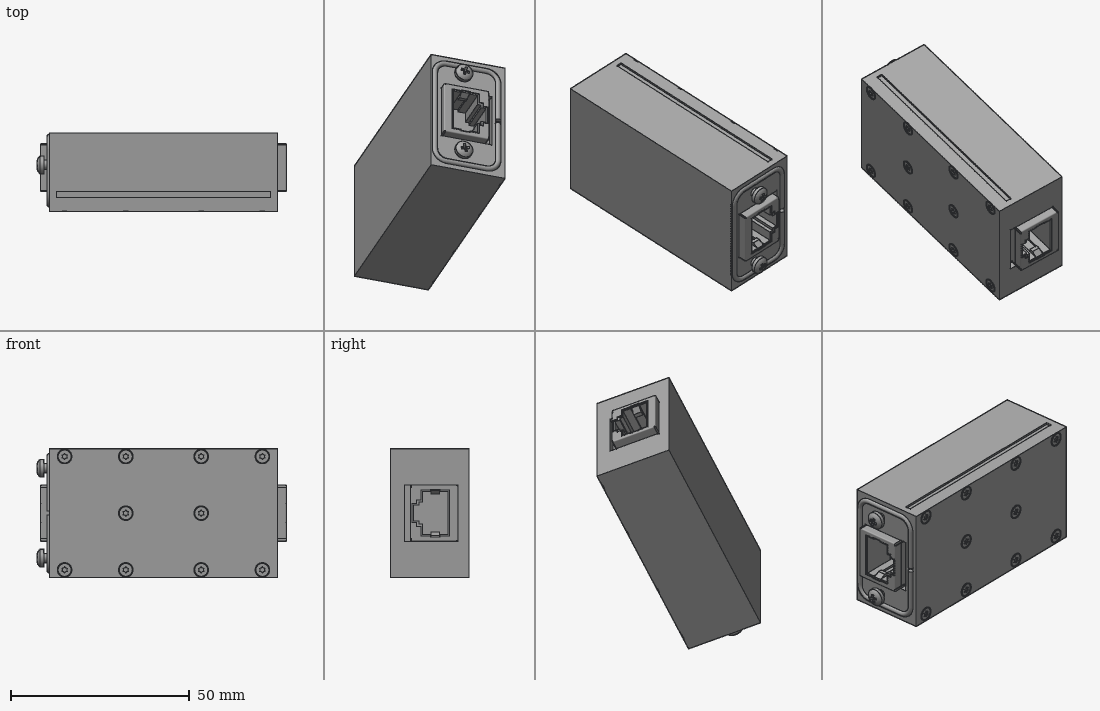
import cadquery as cq
import math

LENGTH = 63.85
WIDTH = 22.0
HEIGHT = 36.1
CONNECTOR_FACE_X = -LENGTH / 2
COVER_FACE_Y = -WIDTH / 2

JACK_OVERHANG = 2.5
JACK_BACK_Y = 7.95
JACK_FRONT_Y = -5.4
JACK_HALF_HEIGHT = 7.9
JACK_EDGE_RADIUS = 0.35
FRONT_NOTCH_DEPTH = 0.2
FRONT_NOTCH_HEIGHT = 0.8
BACK_NOTCH_DEPTH = 0.4
BACK_NOTCH_HEIGHT = 0.2
NOTCH_REACH = 1.75

BORE_BACK_Y = 5.2
BORE_STEPS = [(-2.0, 6.0), (-3.1, 3.1), (-4.55, 2.25)]
BORE_DEPTH = 10.5
LEAD_IN_BACK_Y = 5.6
LEAD_IN_STEPS = [(-2.45, 6.4), (-3.7, 3.7), (-5.0, 2.65)]
LEAD_IN_DEPTH = 0.35

TAB_CENTRE_Y = 1.55
TAB_WIDTH = 2.3
TAB_SLOT_WIDTH = 2.65
TAB_SLOT_HALF_HEIGHT = 6.65
TAB_START = 0.35
TAB_RAMP_START = 0.5
TAB_CREST_START = 2.2
TAB_CREST_END = 3.3
TAB_END = 3.6
TAB_RAMP_HALF_HEIGHT = 6.3
TAB_CREST_HALF_HEIGHT = 5.3

RECESS_FRONT_Y = -7.05
RECESS_BACK_Y = -5.45
RECESS_DEPTH = 2.1

SLOT_LENGTH = 59.85
SLOT_FRONT_Y = RECESS_FRONT_Y
SLOT_BACK_Y = JACK_FRONT_Y
SLOT_DEPTH = 0.55

COVER_SCREW_OUTER_X = 27.65
COVER_SCREW_INNER_X = 10.55
COVER_SCREW_EDGE_Z = 15.85
COVER_SCREW_HOLE_RADIUS = 2.0
COVER_SCREW_HEAD_RADIUS = 1.8
COVER_SCREW_GAP_DEPTH = 0.2
STAR_TIP_RADIUS = 0.9
STAR_VALLEY_RADIUS = 0.6
STAR_POINTS = 6
STAR_DEPTH = 0.4

HEAD_Y = 2.0
HEAD_Z = 12.6
HEAD_RADIUS = 2.5
HEAD_BASE = 1.55
HEAD_RIM = 2.6
HEAD_TIP = 3.5
HEAD_FLAT_RADIUS = 0.7
NECK_RADIUS = 1.3
CROSS_LENGTH = 2.65
CROSS_WIDTH = 0.6
CROSS_DEPTH = 1.1
CROSS_TILT = 15.0

CORD_WIDTH = 1.6
CORD_RADIUS = CORD_WIDTH / 2
CORD_PROTRUSION = 0.7
GROOVE_DEPTH = 0.7
CORD_BACK_Y = 9.85
CORD_FRONT_Y = -8.95
CORD_HALF_HEIGHT = 15.9
CORD_BEND_RADIUS = 3.5
CORD_GAP = 1.1


def box_between(low, high):
    """Box between two opposite corners."""
    size = [b - a for a, b in zip(low, high)]
    return cq.Workplane("XY").box(*size, centered=False).translate(low)



JACK_END_X = CONNECTOR_FACE_X - JACK_OVERHANG


def jack_block():
    """Protruding body with rounded end edges."""
    block = box_between(
        (JACK_END_X, JACK_FRONT_Y, -JACK_HALF_HEIGHT),
        (CONNECTOR_FACE_X, JACK_BACK_Y, JACK_HALF_HEIGHT),
    )
    return block.faces("<X").edges().fillet(JACK_EDGE_RADIUS)


def end_recess():
    """Recess beside the jack and the stepped notches along the jack's four long edges."""
    notch_end_x = CONNECTOR_FACE_X + NOTCH_REACH
    recess = box_between(
        (CONNECTOR_FACE_X, RECESS_FRONT_Y, -JACK_HALF_HEIGHT),
        (CONNECTOR_FACE_X + RECESS_DEPTH, RECESS_BACK_Y, JACK_HALF_HEIGHT),
    )
    front_notch = box_between(
        (JACK_END_X, RECESS_BACK_Y, JACK_HALF_HEIGHT - FRONT_NOTCH_HEIGHT),
        (notch_end_x, JACK_FRONT_Y + FRONT_NOTCH_DEPTH, JACK_HALF_HEIGHT),
    )
    back_notch = box_between(
        (JACK_END_X, JACK_BACK_Y - BACK_NOTCH_DEPTH, JACK_HALF_HEIGHT - BACK_NOTCH_HEIGHT),
        (notch_end_x, JACK_BACK_Y, JACK_HALF_HEIGHT),
    )
    for notch in (front_notch, back_notch):
        recess = recess.union(notch).union(notch.mirror("XY"))
    return recess


def stepped_opening(back_y, steps, depth):
    """Opening that narrows in steps towards -Y, cut inward from the jack's end."""
    opening = None
    for far_y, half_height in steps:
        step = box_between(
            (JACK_END_X, far_y, -half_height),
            (JACK_END_X + depth, back_y, half_height),
        )
        opening = step if opening is None else opening.union(step)
    return opening


def spring_tab():
    """Wedge hanging from the roof of the plug opening."""
    profile = [
        (TAB_START, TAB_SLOT_HALF_HEIGHT),
        (TAB_RAMP_START, TAB_RAMP_HALF_HEIGHT),
        (TAB_CREST_START, TAB_CREST_HALF_HEIGHT),
        (TAB_CREST_END, TAB_CREST_HALF_HEIGHT),
        (TAB_END, TAB_SLOT_HALF_HEIGHT),
    ]
    return (
        cq.Workplane("XZ")
        .polyline(profile)
        .close()
        .extrude(TAB_WIDTH / 2, both=True)
        .translate((JACK_END_X, TAB_CENTRE_Y, 0))
    )


def jack_cavity():
    """Plug opening, with the two spring tabs left standing in it."""
    bore = stepped_opening(BORE_BACK_Y, BORE_STEPS, BORE_DEPTH)
    lead_in = stepped_opening(LEAD_IN_BACK_Y, LEAD_IN_STEPS, LEAD_IN_DEPTH)
    tab_slot = box_between(
        (JACK_END_X, TAB_CENTRE_Y - TAB_SLOT_WIDTH / 2, -TAB_SLOT_HALF_HEIGHT),
        (JACK_END_X + BORE_DEPTH, TAB_CENTRE_Y + TAB_SLOT_WIDTH / 2, TAB_SLOT_HALF_HEIGHT),
    )
    tab = spring_tab()
    return bore.union(lead_in).union(tab_slot).cut(tab).cut(tab.mirror("XY"))



def star_recess():
    """Six-pointed driver recess with rounded valleys, cut into the -Y face."""
    def point(radius, step):
        angle = math.pi / 2 + step * math.pi / STAR_POINTS
        return (radius * math.cos(angle), radius * math.sin(angle))

    outline = cq.Workplane("XZ").moveTo(*point(STAR_TIP_RADIUS, 0))
    for tip in range(STAR_POINTS):
        outline = outline.threePointArc(
            point(STAR_VALLEY_RADIUS, 2 * tip + 1),
            point(STAR_TIP_RADIUS, 2 * tip + 2),
        )
    return outline.close().extrude(-STAR_DEPTH).translate((0, COVER_FACE_Y, 0))


def cover_screw_cut():
    """Gap around a flush screw head, and its driver recess."""
    gap = (
        cq.Workplane("XZ")
        .circle(COVER_SCREW_HOLE_RADIUS)
        .circle(COVER_SCREW_HEAD_RADIUS)
        .extrude(-COVER_SCREW_GAP_DEPTH)
        .translate((0, COVER_FACE_Y, 0))
    )
    return gap.add(star_recess())


def cover_screw_places():
    """(X, Z) of the ten cover screws: four along each edge and two on the centre line."""
    inner = (-COVER_SCREW_INNER_X, COVER_SCREW_INNER_X)
    outer = (-COVER_SCREW_OUTER_X, COVER_SCREW_OUTER_X)
    edge_places = [(x, z) for x in inner + outer for z in (-COVER_SCREW_EDGE_Z, COVER_SCREW_EDGE_Z)]
    return edge_places + [(x, 0) for x in inner]


def raised_screw(z, tilt):
    """Domed, flat-tipped screw head on a neck, with a cross recess turned by the tilt angle."""
    dome_rise = HEAD_TIP - HEAD_RIM
    rim_to_flat = HEAD_RADIUS - HEAD_FLAT_RADIUS
    dome_radius = (rim_to_flat ** 2 + dome_rise ** 2) / (2 * dome_rise)
    screw = (
        cq.Workplane("XY")
        .lineTo(NECK_RADIUS, 0)
        .lineTo(NECK_RADIUS, HEAD_BASE)
        .lineTo(HEAD_RADIUS, HEAD_BASE)
        .lineTo(HEAD_RADIUS, HEAD_RIM)
        .radiusArc((HEAD_FLAT_RADIUS, HEAD_TIP), -dome_radius)
        .lineTo(0, HEAD_TIP)
        .close()
        .revolve(360, (0, 0), (0, 1))
    )
    cross_arm = (
        cq.Workplane("XY")
        .moveTo(-CROSS_LENGTH / 2, HEAD_TIP)
        .lineTo(CROSS_LENGTH / 2, HEAD_TIP)
        .lineTo(0, HEAD_TIP - CROSS_DEPTH)
        .close()
        .extrude(CROSS_WIDTH / 2, both=True)
    )
    dome_axis = ((0, 0, 0), (0, 1, 0))
    cross = cross_arm.union(cross_arm.rotate(*dome_axis, 90)).rotate(*dome_axis, tilt)
    turned = screw.cut(cross).rotate((0, 0, 0), (0, 0, 1), 90)
    return turned.translate((CONNECTOR_FACE_X, HEAD_Y, z))



def gasket_cord():
    """Cord bent into a rounded rectangle, with its ends apart at the middle of the -Y side."""
    bend = CORD_BEND_RADIUS
    inset = bend * (1 - math.sqrt(0.5))
    front, back, top = CORD_FRONT_Y, CORD_BACK_Y, CORD_HALF_HEIGHT
    path = (
        cq.Workplane("YZ", origin=(CONNECTOR_FACE_X, 0, 0))
        .moveTo(front, CORD_GAP / 2)
        .lineTo(front, top - bend)
        .threePointArc((front + inset, top - inset), (front + bend, top))
        .lineTo(back - bend, top)
        .threePointArc((back - inset, top - inset), (back, top - bend))
        .lineTo(back, bend - top)
        .threePointArc((back - inset, inset - top), (back - bend, -top))
        .lineTo(front + bend, -top)
        .threePointArc((front + inset, inset - top), (front, bend - top))
        .lineTo(front, -CORD_GAP / 2)
    )
    shoulder_x = CORD_RADIUS - CORD_PROTRUSION
    profile = (
        cq.Workplane("XY", origin=(CONNECTOR_FACE_X, front, CORD_GAP / 2))
        .moveTo(GROOVE_DEPTH, -CORD_RADIUS)
        .lineTo(shoulder_x, -CORD_RADIUS)
        .threePointArc((-CORD_PROTRUSION, 0), (shoulder_x, CORD_RADIUS))
        .lineTo(GROOVE_DEPTH, CORD_RADIUS)
        .close()
    )
    return profile.sweep(path)


def gasket_groove():
    """Flat-bottomed groove running all the way round under the cord."""
    def rounded_block(grow):
        size_y = CORD_BACK_Y - CORD_FRONT_Y + 2 * grow
        size_z = 2 * (CORD_HALF_HEIGHT + grow)
        block = cq.Workplane("XY").box(GROOVE_DEPTH, size_y, size_z)
        return block.edges("|X").fillet(CORD_BEND_RADIUS + grow)

    middle_x = CONNECTOR_FACE_X + GROOVE_DEPTH / 2
    middle_y = (CORD_BACK_Y + CORD_FRONT_Y) / 2
    ring = rounded_block(CORD_RADIUS).cut(rounded_block(-CORD_RADIUS))
    return ring.translate((middle_x, middle_y, 0))



def make_housing():
    body = cq.Workplane("XY").box(LENGTH, WIDTH, HEIGHT)

    jack = jack_block()
    cavity = jack_cavity().union(end_recess())
    body = body.union(jack).union(jack.mirror("YZ"))
    body = body.cut(cavity).cut(cavity.mirror("YZ"))

    top_slot = box_between(
        (-SLOT_LENGTH / 2, SLOT_FRONT_Y, HEIGHT / 2 - SLOT_DEPTH),
        (SLOT_LENGTH / 2, SLOT_BACK_Y, HEIGHT / 2),
    )
    body = body.cut(top_slot).cut(gasket_groove())

    screw_cut = cover_screw_cut()
    for x, z in cover_screw_places():
        for cutter in screw_cut.vals():
            body = body.cut(cq.Workplane(cutter.translate(cq.Vector(x, 0, z))))

    for side in (-1, 1):
        body = body.union(raised_screw(side * HEAD_Z, -side * CROSS_TILT))

    return body


gasket = gasket_cord()
housing = make_housing()
result = cq.Compound.makeCompound([housing.solids().val(), gasket.val()])